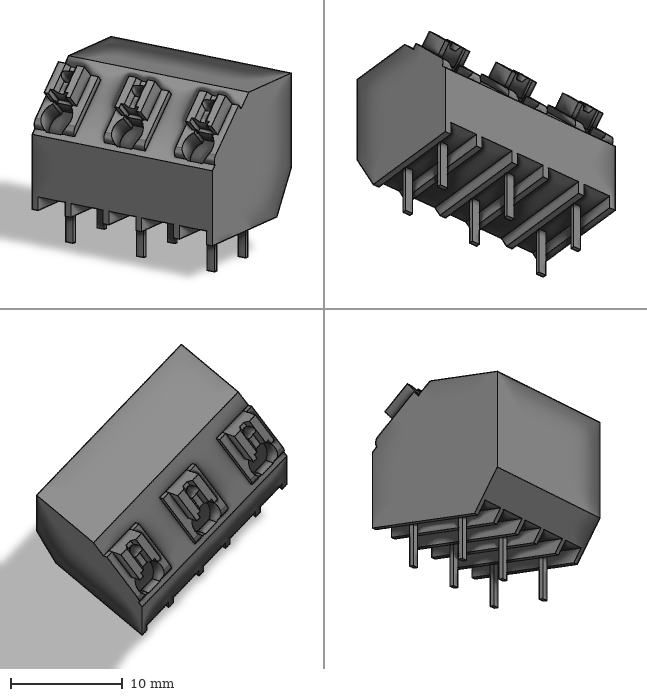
import cadquery as cq
import math


pole_count = 3
pole_pitch = 7.62
pole_centers = [(i - (pole_count - 1) / 2) * pole_pitch for i in range(pole_count)]

housing_width = 19.44
housing_depth = 12.7
housing_height = 12.9
slope_rise = 5.85
rear_chamfer_height = 4.0
rear_chamfer_angle = 30.0
rear_chamfer_depth = rear_chamfer_height * math.tan(math.radians(rear_chamfer_angle))

rib_height = 1.28
rib_pair_gap = 2.92
rib_pair_width = 4.2

pad_width = 4.4
pad_height = 0.58
pad_start = 1.71
pad_end = 7.7
pad_nose_radius = 0.78

lever_width = 2.8
lever_length = 3.25
lever_top = 2.08
lever_end = pad_start + lever_length
groove_top_width = 1.19
groove_floor_width = 0.58
groove_depth = 0.52
tool_hole_radius = 0.58
tool_hole_down = 2.72
lever_notch_width = 1.87
lever_notch_length = 0.45
notch_start = lever_end - lever_notch_length
ledge_height = 0.2

entry_radius = 1.55
entry_down = 6.42
entry_offset = -0.05
entry_floor = -1.32
entry_top_flat_width = 2.0
entry_top_flat_down = 4.86
entry_bottom_flat_down = 7.78

pin_width = 0.8
pin_thickness = 0.39
pin_drop = 3.5
pin_rows = [3.05, 8.05]


def slope_plane(x):
    """Plane on the slope's top edge at x: local -y runs down the slope, local z leaves it squarely."""
    return cq.Plane(origin=(x, slope_rise, housing_height), xDir=(1, 0, 0), normal=(0, -1, 1))


def slope_box(x, width, start, end, low, high):
    """Box lying square to the slope, from start to end down it and from low to high above it."""
    return (
        cq.Workplane(slope_plane(x))
        .workplane(offset=low)
        .center(0, -(start + end) / 2)
        .rect(width, end - start)
        .extrude(high - low)
    )


def slope_cylinder(x, radius, down, low, high):
    """Cylinder with its axis square to the slope."""
    return (
        cq.Workplane(slope_plane(x))
        .workplane(offset=low)
        .center(0, -down)
        .circle(radius)
        .extrude(high - low)
    )


def make_pad(x):
    """Raised pad with a quarter-round lower end, trimmed to the housing's side walls."""
    left = max(x - pad_width / 2, -housing_width / 2)
    right = min(x + pad_width / 2, housing_width / 2)
    profile_plane = cq.Plane(
        origin=(right, slope_rise, housing_height), xDir=(0, -1, -1), normal=(-1, 0, 0)
    )
    nose_center = pad_end - pad_nose_radius
    arc_reach = pad_nose_radius * math.sqrt(0.5)
    nose_height = pad_height - pad_nose_radius
    root = -pad_height
    return (
        cq.Workplane(profile_plane)
        .moveTo(pad_start, root)
        .lineTo(pad_start, pad_height)
        .lineTo(nose_center, pad_height)
        .threePointArc((nose_center + arc_reach, nose_height + arc_reach), (pad_end, nose_height))
        .lineTo(pad_end, root)
        .close()
        .extrude(right - left)
    )


def make_notch(x, floor):
    """Notch at the lever's front, cut down to the given height and opening into the wire entry."""
    return slope_box(x, lever_notch_width, notch_start, entry_down, floor, lever_top)


def make_lever_blank(x):
    """Notched lever block standing on the slope; it also shapes the lever's seat in the pad."""
    block = slope_box(x, lever_width, pad_start, lever_end, 0, lever_top)
    return block.cut(make_notch(x, 0))


def make_wire_entry(x):
    """Round blind hole, squared out to a flat wall at its upper end and cut off flat at its lower end."""
    center = x + entry_offset
    bore = slope_cylinder(center, entry_radius, entry_down, entry_floor, pad_height)
    top_flat = slope_box(
        center, entry_top_flat_width, entry_top_flat_down, entry_down, entry_floor, pad_height
    )
    below_bottom_flat = slope_box(
        center, 2 * entry_radius, entry_bottom_flat_down, entry_down + entry_radius, entry_floor, pad_height
    )
    return bore.cut(below_bottom_flat).union(top_flat)


def make_ribs(x):
    """Pair of ribs running the full depth of the housing, as one block with its middle removed."""
    ribs = cq.Workplane("XY").box(rib_pair_width, housing_depth, rib_height, centered=(True, False, False))
    gap = cq.Workplane("XY").box(rib_pair_gap, housing_depth, rib_height, centered=(True, False, False))
    return ribs.cut(gap).translate((x, 0, 0))


def make_housing():
    """Housing with ribs below and, on its slope, pads with lever seats and wire entries."""
    block = (
        cq.Workplane("YZ", origin=(-housing_width / 2, 0, 0))
        .moveTo(0, 0)
        .lineTo(0, housing_height - slope_rise)
        .lineTo(slope_rise, housing_height)
        .lineTo(housing_depth, housing_height)
        .lineTo(housing_depth, rear_chamfer_height)
        .lineTo(housing_depth - rear_chamfer_depth, 0)
        .close()
        .extrude(housing_width)
    )
    underside_relief = cq.Workplane("XY").box(
        housing_width, housing_depth, rib_height, centered=(True, False, False)
    )
    for x in pole_centers:
        underside_relief = underside_relief.cut(make_ribs(x))
    housing = block.cut(underside_relief)
    for x in pole_centers:
        housing = housing.union(make_pad(x))
    for x in pole_centers:
        housing = housing.cut(make_lever_blank(x))
        housing = housing.cut(make_notch(x, ledge_height))
        housing = housing.cut(make_wire_entry(x))
    return housing


def make_lever(x):
    """Release lever seated in a pad, with a tapered groove, a round tool hole and a front notch."""
    body = make_lever_blank(x)
    groove_plane = cq.Plane(
        origin=slope_plane(x).toWorldCoords((0, -lever_end, lever_top)), xDir=(1, 0, 0), normal=(0, 1, 1)
    )
    groove = (
        cq.Workplane(groove_plane)
        .moveTo(-groove_top_width / 2, 0)
        .lineTo(groove_top_width / 2, 0)
        .lineTo(groove_floor_width / 2, groove_depth)
        .lineTo(-groove_floor_width / 2, groove_depth)
        .close()
        .extrude(lever_length)
    )
    tool_hole = slope_cylinder(x, tool_hole_radius, tool_hole_down, 0, lever_top)
    return body.cut(groove).cut(tool_hole).cut(make_wire_entry(x))


def make_pin(x, y):
    """Solder pin hanging from the housing floor between the ribs."""
    return (
        cq.Workplane("XY", origin=(x, y, -pin_drop))
        .rect(pin_width, pin_thickness)
        .extrude(pin_drop + rib_height)
    )


housing = make_housing()
levers = [make_lever(x) for x in pole_centers]
pins = [make_pin(x, y) for x in pole_centers for y in pin_rows]

result = cq.Compound.makeCompound(
    [
        housing.val(),
        *[lever.val() for lever in levers],
        *[pin.val() for pin in pins],
    ]
)